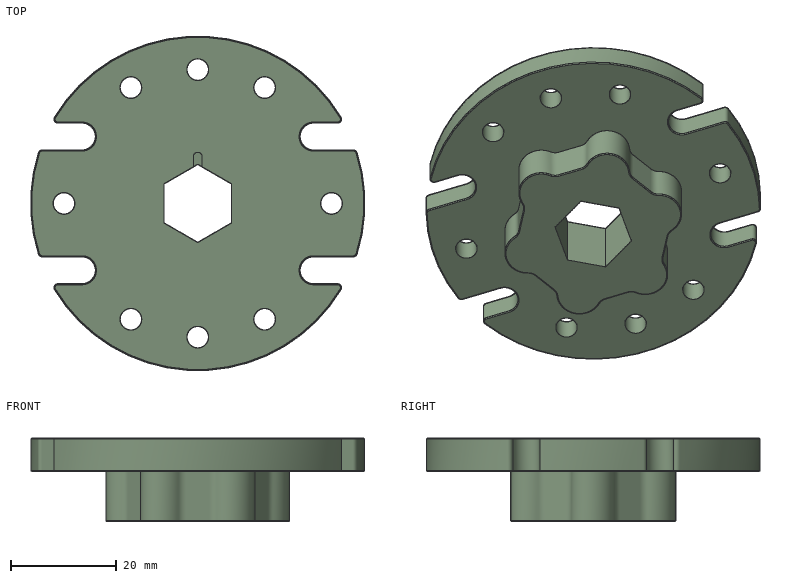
import cadquery as cq
import math

plate_diameter = 63.5
plate_thickness = 6.35
edge_chamfer = 0.2

bolt_circle_radius = 25.4
bolt_hole_diameter = 4.05
bolt_hole_angles = (0, 60, 90, 120, 180, 240, 270, 300)
slot_angles = (30, 150, 210, 330)
slot_width = 5.1
slot_mouth_fillet = 0.75

boss_height = 9.525
lobe_count = 6
lobe_circle_radius = 13.15
lobe_radius = 4.3
boss_across_flats = 28.0
lobe_root_fillet = 2.0

hex_sides = 6
hex_across_flats = 12.8
hex_corner_angle = 90
notch_width = 1.7
notch_tip_y = 9.7
notch_depth = 0.75

total_height = plate_thickness + boss_height
across_corners_ratio = 1 / math.cos(math.pi / hex_sides)


def polar_point(radius, angle):
    """Point at an angle in degrees from +X."""
    turn = math.radians(angle)
    return (radius * math.cos(turn), radius * math.sin(turn))


def make_plate():
    """Disc with four side slots, rounded slot mouths and chamfered rims."""
    plate = (
        cq.Workplane("XY")
        .workplane(offset=boss_height)
        .circle(plate_diameter / 2)
        .extrude(plate_thickness)
    )
    for angle in slot_angles:
        end_x, end_y = polar_point(bolt_circle_radius, angle)
        outward = math.copysign(plate_diameter / 2, end_x)
        slot = (
            cq.Workplane("XY")
            .workplane(offset=boss_height)
            .center(end_x + outward / 2, end_y)
            .slot2D(abs(outward) + slot_width, slot_width)
            .extrude(plate_thickness)
        )
        plate = plate.cut(slot)

    mouth_zone_radius = (bolt_circle_radius + plate_diameter / 2) / 2
    mouth_edges = plate.edges("|Z").filter(
        lambda edge: math.hypot(edge.Center().x, edge.Center().y) > mouth_zone_radius
        and abs(edge.Center().y) > slot_width
    )
    plate = plate.newObject(mouth_edges.vals()).fillet(slot_mouth_fillet)
    return plate.faces("|Z").edges().chamfer(edge_chamfer)


def make_boss():
    """Hexagonal core with a round lobe on each corner and filleted roots."""
    boss = (
        cq.Workplane("XY")
        .polygon(lobe_count, boss_across_flats * across_corners_ratio)
        .extrude(boss_height)
    )
    lobes = (
        cq.Workplane("XY")
        .polarArray(lobe_circle_radius, 0, 360, lobe_count)
        .circle(lobe_radius)
        .extrude(boss_height)
    )
    boss = boss.union(lobes)

    half_flat = boss_across_flats / 2
    lobe_offset_across = half_flat - lobe_circle_radius * math.cos(math.pi / lobe_count)
    lobe_offset_along = lobe_circle_radius * math.sin(math.pi / lobe_count)
    root_half_width = lobe_offset_along - math.sqrt(lobe_radius**2 - lobe_offset_across**2)
    root_radius = math.hypot(half_flat, root_half_width)
    tolerance = 0.01
    root_edges = boss.edges("|Z").filter(
        lambda edge: abs(math.hypot(edge.Center().x, edge.Center().y) - root_radius) < tolerance
    )
    boss = boss.newObject(root_edges.vals()).fillet(lobe_root_fillet)
    return boss.faces("<Z").chamfer(edge_chamfer)


def cut_bolt_holes(body):
    """Plain through holes on the bolt circle."""
    hole_points = [polar_point(bolt_circle_radius, angle) for angle in bolt_hole_angles]
    holes = cq.Workplane("XY").pushPoints(hole_points).circle(bolt_hole_diameter / 2).extrude(total_height)
    return body.cut(holes)


def cut_bore(body):
    """Hexagonal through bore with corners on the Y axis."""
    bore = (
        cq.Workplane("XY")
        .transformed(rotate=(0, 0, hex_corner_angle))
        .polygon(hex_sides, hex_across_flats * across_corners_ratio)
        .extrude(total_height)
    )
    return body.cut(bore)


def cut_notch(body):
    """Shallow round-ended notch in the top face, running into the bore."""
    notch = (
        cq.Workplane("XY")
        .workplane(offset=total_height - notch_depth)
        .center(0, notch_tip_y / 2)
        .slot2D(notch_tip_y, notch_width, hex_corner_angle)
        .extrude(notch_depth)
    )
    return body.cut(notch)


result = make_plate().union(make_boss())
result = cut_bolt_holes(result)
result = cut_bore(result)
result = cut_notch(result)